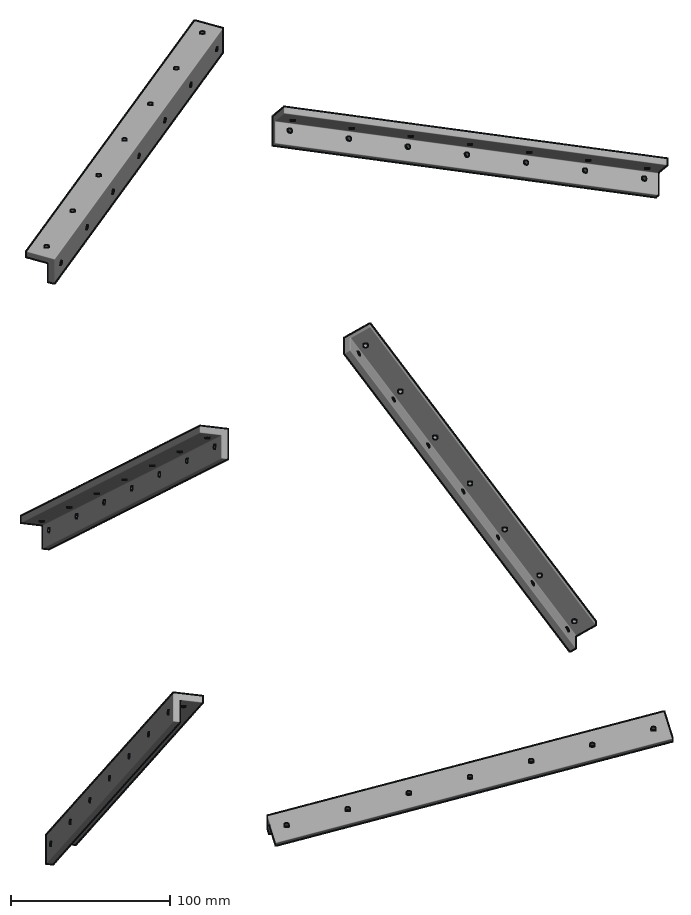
import cadquery as cq

length = 260.0
leg = 20.0
thickness = leg / 4
edge_radius = 0.5

hole_diameter = 3.0
hole_count = 7
end_margin = leg / 2
hole_pitch = (length - 2 * end_margin) / (hole_count - 1)


def angle_bar():
    """Flat top leg and a leg hanging from its +X edge, with every edge rounded."""
    inner = leg / 2 - thickness
    profile = [
        (-leg / 2, leg / 2),
        (leg / 2, leg / 2),
        (leg / 2, -leg / 2),
        (inner, -leg / 2),
        (inner, inner),
        (-leg / 2, inner),
    ]
    bar = cq.Workplane("XZ").polyline(profile).close().extrude(length / 2, both=True)
    return bar.edges().fillet(edge_radius)


def hole_row(plane, points):
    """Cylinders passing through the whole section, normal to the given plane."""
    return cq.Workplane(plane).pushPoints(points).circle(hole_diameter / 2).extrude(leg, both=True)


hole_positions = [-length / 2 + end_margin + i * hole_pitch for i in range(hole_count)]
top_leg_holes = hole_row("XY", [(0, y) for y in hole_positions])
side_leg_holes = hole_row("YZ", [(y, 0) for y in hole_positions])

result = angle_bar().cut(top_leg_holes).cut(side_leg_holes)